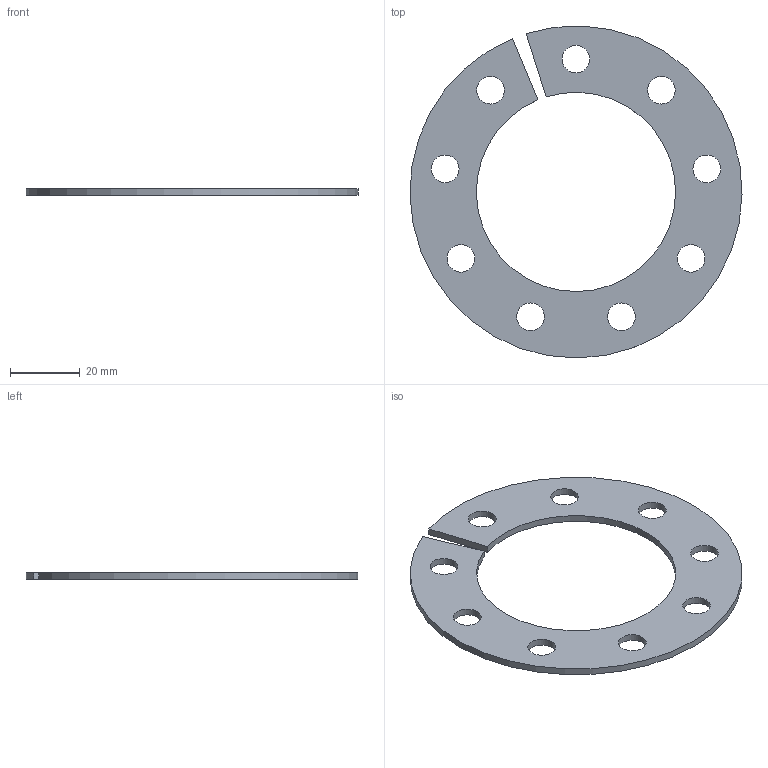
import cadquery as cq
import math

outer_diameter = 95.25
inner_diameter = 57.15
thickness = 2.0

hole_count = 9
hole_diameter = 7.94
hole_circle_diameter = (outer_diameter + inner_diameter) / 2
first_hole_angle = 90.0
hole_pitch_angle = 360.0 / hole_count

gap_angle = 5.0
gap_centre_angle = first_hole_angle + hole_pitch_angle / 2


def polar_point(radius, angle):
    """Return the XY point at a radius and an angle in degrees from +X."""
    return (
        radius * math.cos(math.radians(angle)),
        radius * math.sin(math.radians(angle)),
    )


def make_ring_segment():
    """Ring sector running counterclockwise from one gap wall to the other."""
    outer_radius = outer_diameter / 2
    inner_radius = inner_diameter / 2
    start_angle = gap_centre_angle + gap_angle / 2
    end_angle = gap_centre_angle - gap_angle / 2 + 360.0
    middle_angle = (start_angle + end_angle) / 2
    return (
        cq.Workplane("XY")
        .moveTo(*polar_point(outer_radius, start_angle))
        .threePointArc(
            polar_point(outer_radius, middle_angle),
            polar_point(outer_radius, end_angle),
        )
        .lineTo(*polar_point(inner_radius, end_angle))
        .threePointArc(
            polar_point(inner_radius, middle_angle),
            polar_point(inner_radius, start_angle),
        )
        .close()
        .extrude(thickness)
    )


def make_hole_cutters():
    """Through-hole cylinders on the bolt circle."""
    return (
        cq.Workplane("XY")
        .polarArray(hole_circle_diameter / 2, first_hole_angle, 360.0, hole_count)
        .circle(hole_diameter / 2)
        .extrude(thickness)
    )


result = make_ring_segment().cut(make_hole_cutters())